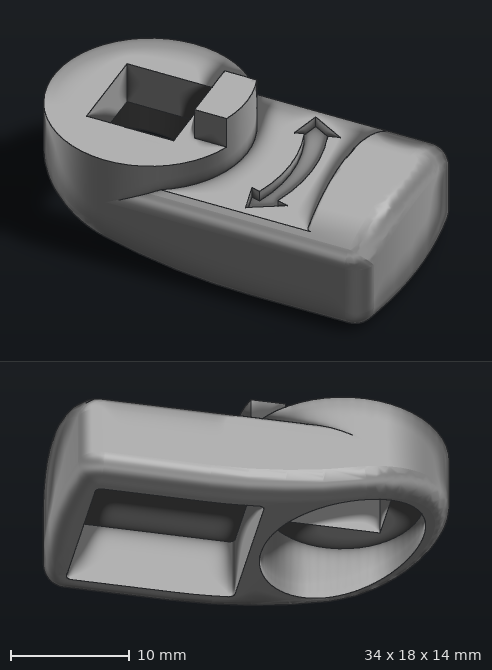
import cadquery as cq
import math

disc_radius = 9.0
disc_top = 11.0
arm_tip = 25.0
half_width = disc_radius

end_bow_radius = 36.0
edge_radius = 2.0

arch_radius = 13.3
arch_shoulder = disc_top - arch_radius + math.sqrt(arch_radius**2 - half_width**2)

floor_level = 8.5
grip_face = 18.0
grip_edge_radius = 0.5

curve_start = 13.1
curve_radius = 50.0

square_side = 8.1
bore_radius = 7.0
bore_ceiling = 7.0
bore_wall = 1.0
recess_wall = 2.5
recess_start = bore_radius + bore_wall
recess_end = arm_tip - recess_wall
recess_half_width = half_width - recess_wall
recess_depth = floor_level - recess_wall
recess_corner_radius = 0.5

tab_inner_face = 5.5
tab_width = 6.0
tab_height = 3.0

arrow_depth = 1.0
arrow_inner_radius = 13.0
arrow_outer_radius = 15.0
arrow_shaft_angle = math.radians(20.3)
arrow_tip = (12.1, 7.0)
arrow_inner_barb = (11.4, 4.23)
arrow_outer_barb = (15.2, 5.26)


def bow_x(y):
    """X of the bowed arm end at a given Y."""
    return arm_tip - end_bow_radius + math.sqrt(end_bow_radius**2 - y**2)


def on_circle(radius, angle):
    """Point at a given angle on a circle around the disc axis."""
    return (radius * math.cos(angle), radius * math.sin(angle))


def finish_plan(start):
    """Close an outline that runs from (0, -half_width) around the arm end to (0, half_width)."""
    end_x = bow_x(half_width)
    return (
        start.lineTo(end_x, -half_width)
        .threePointArc((arm_tip, 0), (end_x, half_width))
        .lineTo(0, half_width)
    )


def round_end_corners(body):
    corners = cq.selectors.BoxSelector(
        (grip_face, -2 * half_width, -disc_top), (2 * arm_tip, 2 * half_width, 2 * disc_top)
    )
    return body.edges("|Z").edges(corners).fillet(edge_radius)


def make_lower_shell():
    """Full-height body with the curved underside and its rounded lower edge."""
    plan = finish_plan(cq.Workplane("XY").moveTo(0, -half_width))
    prism = plan.threePointArc((-disc_radius, 0), (0, -half_width)).close().extrude(disc_top)
    prism = round_end_corners(prism)

    run = curve_start + disc_radius
    mid_run = run / 2
    rise = curve_radius - math.sqrt(curve_radius**2 - run**2)
    mid_rise = curve_radius - math.sqrt(curve_radius**2 - mid_run**2)
    side = (
        cq.Workplane("XZ")
        .moveTo(arm_tip, 0)
        .lineTo(curve_start, 0)
        .threePointArc((curve_start - mid_run, mid_rise), (-disc_radius, rise))
        .lineTo(-disc_radius, disc_top)
        .lineTo(arm_tip, disc_top)
        .close()
        .extrude(2 * half_width, both=True)
    )
    body = prism.intersect(side)
    return body.faces("<Z").edges(">X").fillet(edge_radius)


def make_arched_arm():
    """Arm block with the arched top, its outer edges rounded."""
    block = finish_plan(cq.Workplane("XY").moveTo(0, -half_width)).close().extrude(disc_top)
    arch = (
        cq.Workplane("YZ")
        .moveTo(-half_width, 0)
        .lineTo(half_width, 0)
        .lineTo(half_width, arch_shoulder)
        .threePointArc((0, disc_top), (-half_width, arch_shoulder))
        .close()
        .extrude(arm_tip)
    )
    sharp_arm = block.intersect(arch)
    outer_edges = cq.selectors.BoxSelector(
        (edge_radius, -2 * half_width, edge_radius), (2 * arm_tip, 2 * half_width, 2 * disc_top)
    )
    return sharp_arm.edges(outer_edges).fillet(edge_radius)


def box_between(x_start, x_end, z_bottom, z_top):
    """Block across the full arm width between the given X and Z limits."""
    return (
        cq.Workplane("XY", origin=(x_start, 0, z_bottom))
        .rect(x_end - x_start, 2 * half_width)
        .extrude(z_top - z_bottom)
        .translate(((x_end - x_start) / 2, 0, 0))
    )


def make_upper_shape():
    """Disc column, arm below the floor level and grip above it."""
    arm = make_arched_arm()
    low_arm = arm.intersect(box_between(0, arm_tip, 0, floor_level))
    grip = arm.intersect(box_between(grip_face, arm_tip, 0, disc_top))
    grip_edge = cq.selectors.NearestToPointSelector((grip_face, 0, disc_top))
    grip = grip.edges(grip_edge).fillet(grip_edge_radius)
    grip = grip.intersect(box_between(grip_face, arm_tip, floor_level - grip_edge_radius, disc_top))
    column = cq.Workplane("XY").circle(disc_radius).extrude(disc_top)
    return column.union(low_arm).union(grip)


def make_tab():
    tab_length = disc_radius - tab_inner_face
    block = (
        cq.Workplane("XY", origin=(tab_inner_face + tab_length / 2, 0, bore_ceiling))
        .rect(tab_length, tab_width)
        .extrude(disc_top + tab_height - bore_ceiling)
    )
    column = cq.Workplane("XY").circle(disc_radius).extrude(disc_top + tab_height)
    return block.intersect(column)


def make_sockets():
    """Square through hole opening into a round bore from below."""
    square = cq.Workplane("XY").rect(square_side, square_side).extrude(disc_top)
    bore = cq.Workplane("XY").circle(bore_radius).extrude(bore_ceiling)
    return square.union(bore)


def make_recess():
    """Rectangular recess that hollows the arm from below."""
    length = recess_end - recess_start
    return (
        cq.Workplane("XY", origin=(recess_start + length / 2, 0, 0))
        .rect(length, 2 * recess_half_width)
        .extrude(recess_depth)
        .edges("|Z")
        .fillet(recess_corner_radius)
    )


def make_arrow():
    """Curved arrow with a head at each end."""
    arrow_plane = cq.Workplane("XY", origin=(0, 0, floor_level - arrow_depth))
    arrow = (
        arrow_plane
        .moveTo(*on_circle(arrow_inner_radius, -arrow_shaft_angle))
        .threePointArc((arrow_inner_radius, 0), on_circle(arrow_inner_radius, arrow_shaft_angle))
        .lineTo(*on_circle(arrow_outer_radius, arrow_shaft_angle))
        .threePointArc((arrow_outer_radius, 0), on_circle(arrow_outer_radius, -arrow_shaft_angle))
        .close()
        .extrude(arrow_depth)
    )
    head_outline = [arrow_inner_barb, arrow_tip, arrow_outer_barb]
    head = arrow_plane.polyline(head_outline).close().extrude(arrow_depth)
    return arrow.union(head).union(head.mirror("XZ"))


result = (
    make_lower_shell()
    .intersect(make_upper_shape())
    .union(make_tab())
    .cut(make_sockets())
    .cut(make_recess())
    .cut(make_arrow())
)